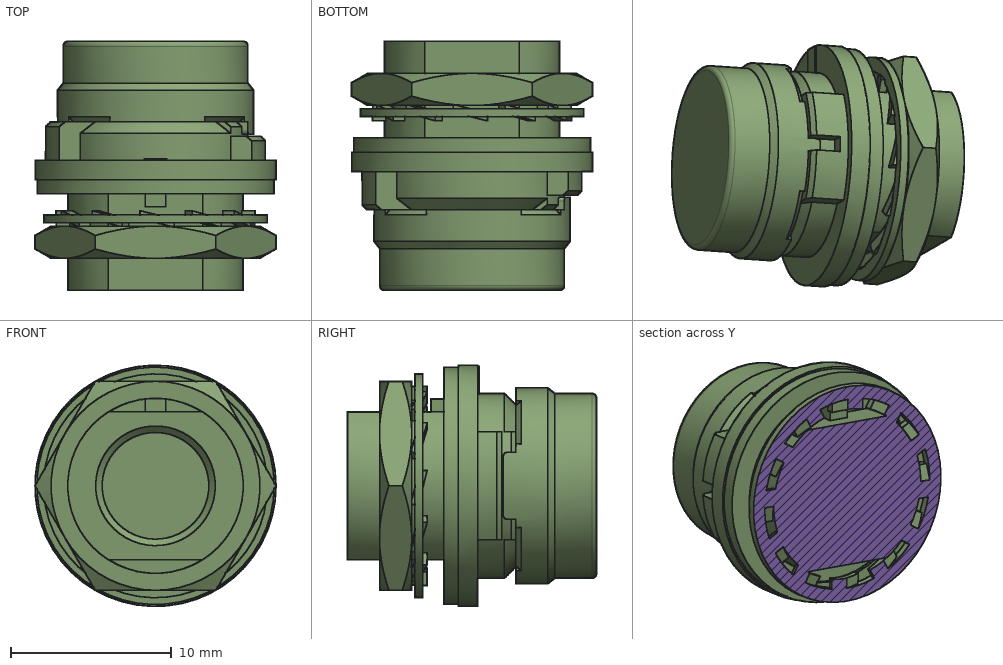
import cadquery as cq
import math


NUT_FRONT = 2.0
NUT_REAR = 4.0
WASHER_FRONT = 4.2
WASHER_REAR = 4.7
SEAL_FRONT = 6.0
FLANGE_FRONT = 6.9
FLANGE_REAR = 8.1
SLEEVE_FRONT = 10.48
COLLAR_FRONT = 12.9
COLLAR_REAR = 15.5

FLANGE_R = 7.5
SEAL_R = 7.38
SEAL_RECESS_R = 6.1
SEAL_RECESS_DEPTH = 0.25
WASHER_R = 6.96
THREAD_R = 5.45
NUT_HOLE_R = 5.44
CORE_R = 5.75
SLEEVE_R = 6.1

FLAT_HALF_HEIGHT = 4.6
BORE_MOUTH_R = 3.72
BORE_FLOOR_R = 3.32
BORE_DEPTH = 0.4
NUB_WIDTH = 1.27
NUB_LENGTH = 0.8
NUB_TOP = 5.41

CORE_CHAMFER = 0.71
SLEEVE_CHAMFER = SLEEVE_R - CORE_R
SLEEVE_CHAMFER_LENGTH = 0.45
COLLAR_ROUND = 0.31
SLEEVE_GAP = 0.26
SLEEVE_GAP_DEPTH = 0.33
RELIEF_SIZE = 0.33
RELIEF_ANGLE = 34.5
RELIEF_CENTRES = (42.5, 135, 225, 317.5)

TAB_R = 6.85
TAB_HALF_HEIGHT = 3.35
TAB_CHAMFER = 0.3
SHORT_TAB_REAR = 9.6
SLOT_WIDTH = 0.95
SLOT_FLOOR = 8.63
KEY_FRONT = 9.7
KEY_ROUND = 0.22
NARROW_KEY_WIDTH = 0.8
WIDE_KEY_WIDTH = 4.15

MARK_WIDTH = 1.4
MARK_HEIGHT = 0.1
MARK_R = 7.44

TOOTH_COUNT = 12
TOOTH_RAISED_ANGLE = 9.0
TOOTH_ANGLE = 20.0
TOOTH_OUTER_R = 6.09
TOOTH_RISE = 0.26
TOOTH_ROOT_OVERLAP = 0.1

NUT_CORNER_R = FLANGE_R
NUT_CHAMFER_ANGLE = 30.0


def disc(radius, front, rear):
    """Cylinder about the Y axis between two stations."""
    return cq.Workplane("XZ", origin=(0, front, 0)).circle(radius).extrude(front - rear)


def block(x_range, y_range, z_range):
    """Axis-aligned box given by its limits."""
    size = [high - low for low, high in (x_range, y_range, z_range)]
    corner = (x_range[0], y_range[0], z_range[0])
    return cq.Workplane("XY").box(*size, centered=False).translate(corner)


def turned(points, angle=360):
    """Revolve an outline of (radius, station) points about the Y axis."""
    return cq.Workplane("XY").polyline(points).close().revolve(angle, (0, 0), (0, 1))


def about_axis(shape, angle):
    """Turn a shape about the Y axis, from +X towards +Z."""
    return shape.rotate((0, 0, 0), (0, 1, 0), -angle)


def barrel():
    """Threaded barrel with two flats, a shallow tapered bore and a locating nub."""
    rear = SEAL_FRONT + SEAL_RECESS_DEPTH
    flats = block((-THREAD_R, THREAD_R), (0, rear), (-FLAT_HALF_HEIGHT, FLAT_HALF_HEIGHT))
    body = disc(THREAD_R, 0, rear).intersect(flats)
    bore = turned([(0, 0), (BORE_MOUTH_R, 0), (BORE_FLOOR_R, BORE_DEPTH), (0, BORE_DEPTH)])
    nub = block(
        (-NUB_WIDTH / 2, NUB_WIDTH / 2), (SEAL_FRONT - NUB_LENGTH, rear), (0, NUB_TOP)
    )
    return body.cut(bore).union(nub)


def nut():
    """Hexagonal nut with its corners coned off on both faces."""
    thickness = NUT_REAR - NUT_FRONT
    hexagon = (
        cq.Workplane("XZ", origin=(0, NUT_FRONT, 0))
        .polygon(6, 2 * NUT_CORNER_R)
        .extrude(-thickness)
    )
    face_r = NUT_CORNER_R * math.cos(math.pi / 6)
    drop = (NUT_CORNER_R - face_r) * math.tan(math.radians(NUT_CHAMFER_ANGLE))
    envelope = turned([
        (0, NUT_FRONT),
        (face_r, NUT_FRONT),
        (NUT_CORNER_R, NUT_FRONT + drop),
        (NUT_CORNER_R, NUT_REAR - drop),
        (face_r, NUT_REAR),
        (0, NUT_REAR),
    ])
    hole = disc(NUT_HOLE_R, NUT_FRONT, NUT_REAR)
    return hexagon.intersect(envelope).cut(hole)


def lock_washer():
    """Flat ring with twisted inner teeth that stand proud of both faces."""
    washer = disc(WASHER_R, WASHER_FRONT, WASHER_REAR).cut(
        disc(TOOTH_OUTER_R, WASHER_FRONT, WASHER_REAR)
    )
    half_width = TOOTH_OUTER_R * math.sin(math.radians(TOOTH_ANGLE / 2))
    tooth = (
        cq.Workplane("YZ", origin=(BORE_MOUTH_R, 0, 0))
        .polyline([
            (WASHER_FRONT - TOOTH_RISE, -half_width),
            (WASHER_REAR - TOOTH_RISE, -half_width),
            (WASHER_REAR + TOOTH_RISE, half_width),
            (WASHER_FRONT + TOOTH_RISE, half_width),
        ])
        .close()
        .extrude(TOOTH_OUTER_R + TOOTH_ROOT_OVERLAP - BORE_MOUTH_R)
        .cut(disc(NUT_HOLE_R, NUT_FRONT, SEAL_FRONT))
    )
    middle_angle = TOOTH_RAISED_ANGLE - TOOTH_ANGLE / 2
    for i in range(TOOTH_COUNT):
        washer = washer.union(about_axis(tooth, middle_angle + i * 360 / TOOTH_COUNT))
    return washer


def flange():
    """Flange with a recessed, slightly smaller seal ring in front and a thin mark behind."""
    mark = block(
        (-MARK_WIDTH / 2, MARK_WIDTH / 2),
        (FLANGE_FRONT, FLANGE_REAR + MARK_HEIGHT),
        (0, FLANGE_R),
    ).intersect(disc(MARK_R, FLANGE_FRONT, FLANGE_REAR + MARK_HEIGHT))
    seal = disc(SEAL_R, SEAL_FRONT, FLANGE_FRONT).cut(
        disc(SEAL_RECESS_R, SEAL_FRONT, SEAL_FRONT + SEAL_RECESS_DEPTH)
    )
    return disc(FLANGE_R, FLANGE_FRONT, FLANGE_REAR).union(seal).union(mark)


def tab(radius, rear, side):
    """Coding tab with parallel flanks; side is +1 for +X and -1 for -X."""
    body = disc(radius, FLANGE_REAR, rear).faces(">Y").chamfer(TAB_CHAMFER)
    x_range = sorted((0, side * radius))
    return body.intersect(
        block(x_range, (FLANGE_REAR, rear), (-TAB_HALF_HEIGHT, TAB_HALF_HEIGHT))
    )


def core():
    """Core behind the flange, with a slotted long tab at -X and a stepped one at +X."""
    body = disc(CORE_R, FLANGE_REAR, SLEEVE_FRONT).faces(">Y").chamfer(CORE_CHAMFER)
    slot = block(
        (-TAB_R, 0), (SLOT_FLOOR, SLEEVE_FRONT), (-SLOT_WIDTH / 2, SLOT_WIDTH / 2)
    )
    long_tab = tab(TAB_R, SLEEVE_FRONT, -1).cut(slot)
    short_tab = tab(TAB_R, SHORT_TAB_REAR, 1)
    upper_step = tab(CORE_R, SLEEVE_FRONT, 1)
    return body.union(long_tab).union(short_tab).union(upper_step)


def sleeve_key(width, side):
    """Key at the front of the sleeve, following its outer surface, with rounded tips."""
    x_range = sorted((0, side * SLEEVE_R))
    key = block(x_range, (KEY_FRONT, SLEEVE_FRONT), (-width / 2, width / 2))
    key = key.edges("|X and <Y").fillet(KEY_ROUND)
    return key.intersect(disc(SLEEVE_R, KEY_FRONT, SLEEVE_FRONT))


def sleeve():
    """Coupling sleeve with a front gap, edge reliefs, two keys and a rounded rear collar."""
    neck_r = CORE_R - CORE_CHAMFER
    body = turned([
        (0, SLEEVE_FRONT),
        (neck_r, SLEEVE_FRONT),
        (neck_r, SLEEVE_FRONT + SLEEVE_GAP_DEPTH),
        (neck_r + SLEEVE_GAP, SLEEVE_FRONT + SLEEVE_GAP_DEPTH),
        (neck_r + SLEEVE_GAP, SLEEVE_FRONT),
        (SLEEVE_R, SLEEVE_FRONT),
        (SLEEVE_R, COLLAR_FRONT - SLEEVE_CHAMFER_LENGTH),
        (SLEEVE_R - SLEEVE_CHAMFER, COLLAR_FRONT),
        (0, COLLAR_FRONT),
    ])
    relief = turned(
        [
            (SLEEVE_R - RELIEF_SIZE, SLEEVE_FRONT),
            (SLEEVE_R, SLEEVE_FRONT),
            (SLEEVE_R, SLEEVE_FRONT + RELIEF_SIZE),
        ],
        RELIEF_ANGLE,
    )
    relief = about_axis(relief, RELIEF_ANGLE / 2)
    for centre in RELIEF_CENTRES:
        body = body.cut(about_axis(relief, centre))
    collar = disc(CORE_R, COLLAR_FRONT, COLLAR_REAR).faces(">Y").edges().fillet(COLLAR_ROUND)
    keys = sleeve_key(NARROW_KEY_WIDTH, -1).union(sleeve_key(WIDE_KEY_WIDTH, 1))
    return body.union(collar).union(keys)


result = barrel().union(nut()).union(lock_washer()).union(flange()).union(core()).union(sleeve())